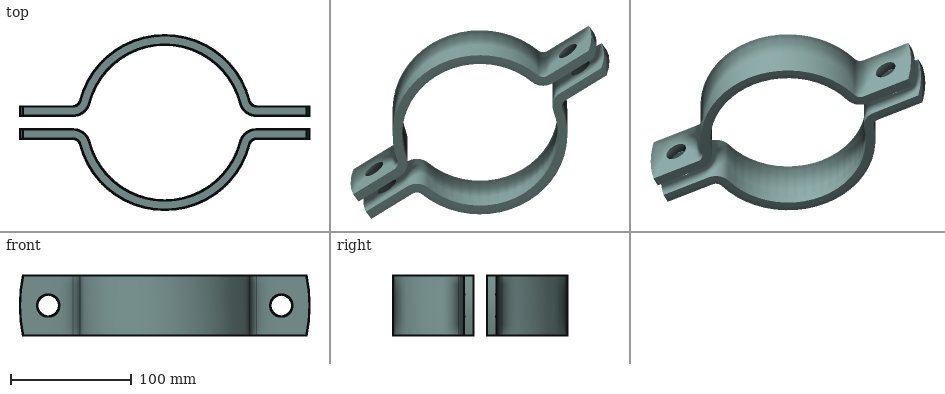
import cadquery as cq
import math

length = 240.5
depth = 145.0
width = 50.0
thickness = 8.0
gap = 11.0
bend_radius = 6.3
hole_diameter = 18.0
hole_offset = 96.6

ring_outer = depth / 2
ring_inner = ring_outer - thickness
tab_inner = gap / 2
tab_outer = tab_inner + thickness
tab_end = length / 2

bend_y = tab_outer + bend_radius
bend_reach = ring_outer + bend_radius
bend_x = math.sqrt(bend_reach**2 - bend_y**2)
ring_angle = math.atan2(bend_y, bend_x)
bend_mid_angle = (ring_angle - math.pi / 2) / 2 - math.pi / 2


def ring_point(radius):
    """Point at the right-hand end of the ring arc."""
    return radius * math.cos(ring_angle), radius * math.sin(ring_angle)


def bend_midpoint(radius):
    """Point halfway round the right-hand bend."""
    x = bend_x + radius * math.cos(bend_mid_angle)
    y = bend_y + radius * math.sin(bend_mid_angle)
    return x, y


def mirrored(point):
    """The same point on the left-hand side."""
    return -point[0], point[1]


def bent_strip():
    """Half ring with a tangent bend and a flat tab at each side."""
    outer_bend = bend_midpoint(bend_radius)
    inner_bend = bend_midpoint(bend_radius + thickness)
    outer_ring = ring_point(ring_outer)
    inner_ring = ring_point(ring_inner)
    return (
        cq.Workplane("XY")
        .workplane(offset=-width / 2)
        .moveTo(tab_end, tab_inner)
        .lineTo(tab_end, tab_outer)
        .lineTo(bend_x, tab_outer)
        .threePointArc(outer_bend, outer_ring)
        .threePointArc((0, ring_outer), mirrored(outer_ring))
        .threePointArc(mirrored(outer_bend), (-bend_x, tab_outer))
        .lineTo(-tab_end, tab_outer)
        .lineTo(-tab_end, tab_inner)
        .lineTo(-bend_x, tab_inner)
        .threePointArc(mirrored(inner_bend), mirrored(inner_ring))
        .threePointArc((0, ring_inner), inner_ring)
        .threePointArc(inner_bend, (bend_x, tab_inner))
        .close()
        .extrude(width)
    )


def rounded_end_envelope():
    """Cylinder along Y that trims the tab ends to arcs."""
    return cq.Workplane("XZ").circle(tab_end).extrude(depth / 2, both=True)


def bolt_holes():
    """One bolt hole through each tab, along Y."""
    return (
        cq.Workplane("XZ")
        .pushPoints([(-hole_offset, 0), (hole_offset, 0)])
        .circle(hole_diameter / 2)
        .extrude(depth / 2, both=True)
    )


def clamp_half(turn):
    """One clamp half, turned about the ring axis into its place."""
    half = bent_strip().intersect(rounded_end_envelope()).cut(bolt_holes())
    return half.rotate((0, 0, 0), (0, 0, 1), turn)


clamp_halves = [clamp_half(turn).val() for turn in (0, 180)]

result = cq.Compound.makeCompound(clamp_halves)